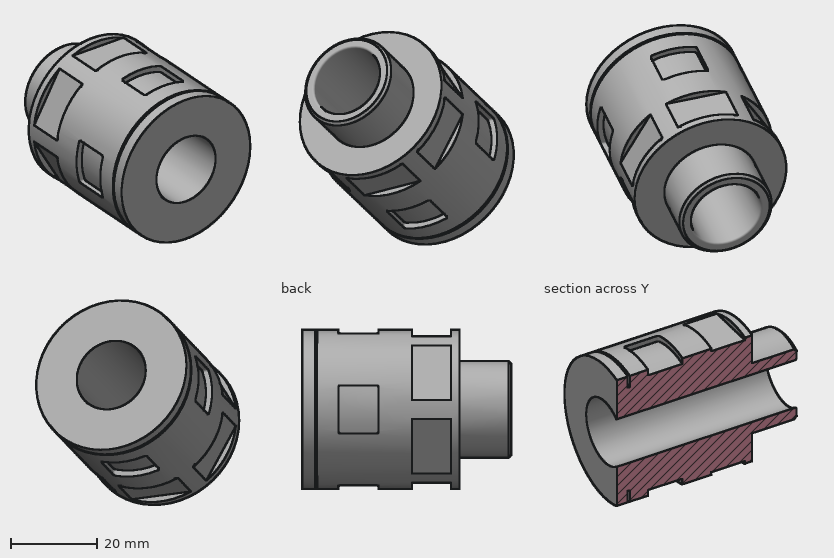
import cadquery as cq

total_length = 48.5
spigot_length = 12.0
body_length = total_length - spigot_length
spigot_diameter = 22.5
body_diameter = 37.0
bore_diameter = 17.0
spigot_chamfer = 0.7
bore_mouth_radius = 0.5

end_ring_width = 3.0
groove_width = 0.5
groove_diameter = 31.0

flat_count = 6
flat_start = 2.0
flat_width = 9.0
across_flats = 34.0

pocket_count = 4
pocket_start = 18.8
pocket_length = 9.3
pocket_width = 11.2
pocket_corner_radius = 0.5
pocket_floor_diameter = 34.0


def cylinder_along_x(diameter, start, length):
    return cq.Workplane("YZ", origin=(start, 0, 0)).circle(diameter / 2).extrude(length)


def make_turned_blank():
    spigot = cylinder_along_x(spigot_diameter, -spigot_length, spigot_length)
    spigot = spigot.faces("<X").chamfer(spigot_chamfer)
    body = cylinder_along_x(body_diameter, 0, body_length)
    return body.union(spigot)


def cut_bore(part):
    part = part.cut(cylinder_along_x(bore_diameter, -spigot_length, total_length))
    bore_mouth = part.faces("<X").edges(cq.selectors.RadiusNthSelector(0))
    return bore_mouth.fillet(bore_mouth_radius)


def make_groove():
    groove_start = body_length - end_ring_width - groove_width
    groove = cylinder_along_x(body_diameter, groove_start, groove_width)
    return groove.cut(cylinder_along_x(groove_diameter, groove_start, groove_width))


def make_wrench_flat_cutter():
    return (
        cq.Workplane("XY", origin=(flat_start + flat_width / 2, 0, across_flats / 2))
        .rect(flat_width, body_diameter)
        .extrude(body_diameter / 2)
    )


def make_pocket_cutter():
    block = (
        cq.Workplane("XY", origin=(pocket_start + pocket_length / 2, 0, 0))
        .rect(pocket_length, pocket_width)
        .extrude(body_diameter)
        .edges("|Z")
        .fillet(pocket_corner_radius)
    )
    return block.cut(cylinder_along_x(pocket_floor_diameter, 0, body_length))


def cut_around_axis(part, cutter, count):
    for index in range(count):
        angle = index * 360 / count
        part = part.cut(cutter.rotate((0, 0, 0), (1, 0, 0), angle))
    return part


result = cut_bore(make_turned_blank()).cut(make_groove())
result = cut_around_axis(result, make_wrench_flat_cutter(), flat_count)
result = cut_around_axis(result, make_pocket_cutter(), pocket_count)